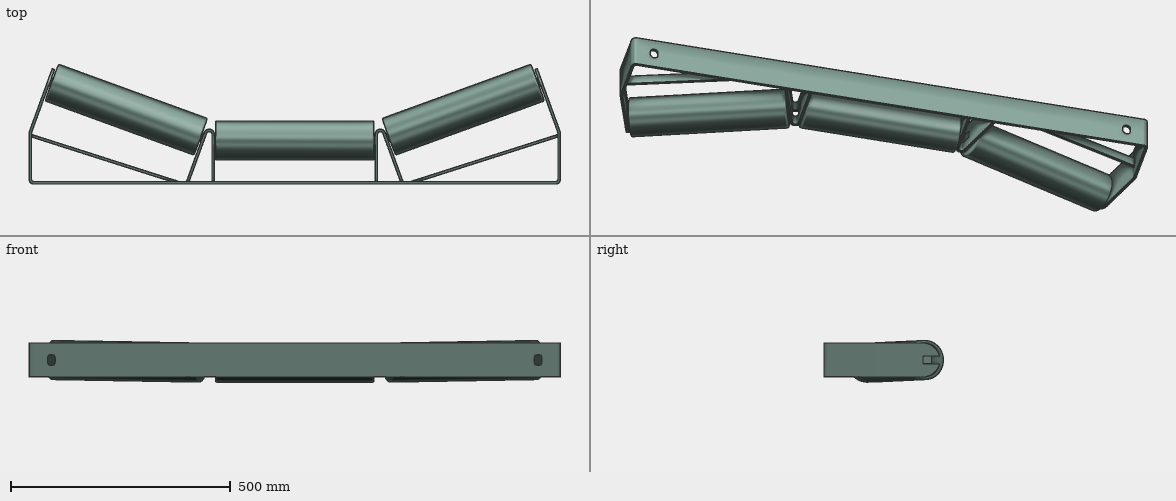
import cadquery as cq
import math


FRAME_LENGTH = 1210.0
STRIP_WIDTH = 77.0
STRIP_THICKNESS = 6.0
CORNER_RADIUS = 11.0
WING_BEND_RADIUS = 23.0
WING_TIP_REACH = 31.0

MOUNT_SPACING = 1108.0
MOUNT_SLOT_WIDTH = 18.0
MOUNT_SLOT_HEIGHT = 25.0

BRACKET_WIDTH = 65.0
BRACKET_BEND_RADIUS = 12.0

ROLLER_LENGTH = 360.0
ROLLER_RADIUS = 45.0
ROLLER_EDGE_RADIUS = 4.0
TROUGH_ANGLE = 20.0
CENTRE_AXIS_Y = 99.0
WING_ROLLER_X = -384.0
WING_ROLLER_Y = 170.0
WING_END_GAP = 4.2
CENTRE_END_GAP = 2.0

AXLE_WIDTH = 17.0
AXLE_HEIGHT = 20.0
AXLE_CORNER_RADIUS = 4.0
AXLE_SLOT_WIDTH = 18.0
AXLE_SLOT_DEPTH = 73.0
AXLE_SLOT_SPAN = 24.0

STRUT_THICKNESS = 6.0
STRUT_WIDTH = 22.0
STRUT_WALL_Y = 110.0
STRUT_FOOT_X = -273.0

HALF_LENGTH = FRAME_LENGTH / 2
SINE = math.sin(math.radians(TROUGH_ANGLE))
COSINE = math.cos(math.radians(TROUGH_ANGLE))
SLOPE = SINE / COSINE
MITRE_SHIFT = STRIP_THICKNESS * math.tan(math.radians(TROUGH_ANGLE / 2))
WING_STRIP_OFFSET = ROLLER_LENGTH / 2 + WING_END_GAP
CENTRE_STRIP_OFFSET = ROLLER_LENGTH / 2 + CENTRE_END_GAP
BRACKET_Z = (BRACKET_WIDTH - STRIP_WIDTH) / 2
WING_ROLLER_Z = BRACKET_Z / 2
WING_TILT = math.degrees(math.asin(-BRACKET_Z / (2 * WING_STRIP_OFFSET)))


def wing_point(along, up):
    """Point in plan measured from the left roller's centre: along its axis (inward) and upward."""
    return (WING_ROLLER_X + along * COSINE + up * SINE, WING_ROLLER_Y - along * SINE + up * COSINE)


def place_on_wing(body):
    """Move a body from roller coordinates (axis on X, top on +Y) onto the left wing."""
    return body.rotate((0, 0, 0), (0, 0, 1), -TROUGH_ANGLE).translate((WING_ROLLER_X, WING_ROLLER_Y, 0))


def mirrored(body):
    """Copy of a body on the other side of X = 0."""
    return body.mirror("YZ")


def extrude_strip(points, width):
    """Solid of a closed outline in plan, with the given width centred on Z = 0."""
    return cq.Workplane("XY").polyline(points).close().extrude(width / 2, both=True)


def round_bend(strip, outer_point, inner_point, outer_radius):
    """Round both sides of one bend so that the strip keeps its thickness."""
    for (x, y), radius in ((outer_point, outer_radius), (inner_point, outer_radius - STRIP_THICKNESS)):
        edge = cq.selectors.NearestToPointSelector((x, y, 0))
        strip = strip.edges("|Z").edges(edge).fillet(radius)
    return strip


def axle_bar(length, width, height):
    """Bar along X whose bottom lies at the foot of the axle, with rounded bottom corners."""
    bar = cq.Workplane("XY").box(length, height, width).translate((0, (height - AXLE_HEIGHT) / 2, 0))
    return bar.edges("|X and <Y").fillet(AXLE_CORNER_RADIUS)


def axle_slot(strip_offset, z):
    """Cutter for the open slot through the strip whose near face is at this offset along the axis."""
    middle = strip_offset + math.copysign(STRIP_THICKNESS / 2, strip_offset)
    return axle_bar(AXLE_SLOT_SPAN, AXLE_SLOT_WIDTH, AXLE_SLOT_DEPTH).translate((middle, 0, z))


def wing_tip_trim():
    """Material to remove so that the left wing ends in a half circle across its width."""
    radius = STRIP_WIDTH / 2
    trim_length = 4 * STRIP_THICKNESS
    tip_block = cq.Workplane("XY").box(trim_length, 2 * radius, 2 * STRIP_WIDTH).translate((0, radius, 0))
    round_end = cq.Workplane("YZ").circle(radius).extrude(trim_length, both=True)
    trim = tip_block.cut(round_end)
    return trim.translate((-WING_STRIP_OFFSET, WING_TIP_REACH - radius, 0))


def make_frame():
    """Base, side walls and leaning wings, bent from one strip."""
    wall_x = -HALF_LENGTH
    outer_offset = WING_STRIP_OFFSET + STRIP_THICKNESS
    bend_y = WING_ROLLER_Y + (outer_offset - (HALF_LENGTH + WING_ROLLER_X) * COSINE) / SINE
    corner_outer = (wall_x, 0)
    corner_inner = (wall_x + STRIP_THICKNESS, STRIP_THICKNESS)
    bend_outer = (wall_x, bend_y)
    bend_inner = (wall_x + STRIP_THICKNESS, bend_y - MITRE_SHIFT)
    left_points = [
        corner_outer,
        bend_outer,
        wing_point(-outer_offset, WING_TIP_REACH),
        wing_point(-WING_STRIP_OFFSET, WING_TIP_REACH),
        bend_inner,
        corner_inner,
    ]
    right_points = [(-x, y) for x, y in reversed(left_points)]
    frame = extrude_strip(left_points + right_points, STRIP_WIDTH)
    for side in (1, -1):
        for outer, inner, radius in (
            (corner_outer, corner_inner, CORNER_RADIUS),
            (bend_outer, bend_inner, WING_BEND_RADIUS),
        ):
            frame = round_bend(frame, (side * outer[0], outer[1]), (side * inner[0], inner[1]), radius)
    trim = place_on_wing(wing_tip_trim())
    slot = place_on_wing(axle_slot(-WING_STRIP_OFFSET, 0))
    for tool in (trim, slot):
        frame = frame.cut(tool).cut(mirrored(tool))
    mounts = (
        cq.Workplane("XZ")
        .pushPoints([(-MOUNT_SPACING / 2, 0), (MOUNT_SPACING / 2, 0)])
        .slot2D(MOUNT_SLOT_HEIGHT, MOUNT_SLOT_WIDTH, 90)
        .extrude(STRIP_THICKNESS, both=True)
    )
    return frame.cut(mounts)


def make_left_bracket():
    """Narrow inverted V: a leaning leg for the outer roller and an upright leg for the centre one."""
    upright_x = -CENTRE_STRIP_OFFSET
    face_x, face_y = wing_point(WING_STRIP_OFFSET, 0)
    foot_y = STRIP_THICKNESS
    lean_foot_x = face_x + (foot_y - face_y) * SLOPE
    apex_outer = (upright_x, foot_y + (upright_x - lean_foot_x) / SLOPE)
    inner_lean_x = lean_foot_x + STRIP_THICKNESS / COSINE
    inner_upright_x = upright_x - STRIP_THICKNESS
    apex_inner = (inner_upright_x, foot_y + (inner_upright_x - inner_lean_x) / SLOPE)
    outline = [
        (lean_foot_x, foot_y),
        apex_outer,
        (upright_x, foot_y),
        (inner_upright_x, foot_y),
        apex_inner,
        (inner_lean_x, foot_y),
    ]
    bracket = extrude_strip(outline, BRACKET_WIDTH).translate((0, 0, BRACKET_Z))
    bracket = round_bend(bracket, apex_outer, apex_inner, BRACKET_BEND_RADIUS)
    wing_slot = place_on_wing(axle_slot(WING_STRIP_OFFSET, BRACKET_Z))
    centre_slot = axle_slot(-CENTRE_STRIP_OFFSET, BRACKET_Z).translate((0, CENTRE_AXIS_Y, 0))
    return bracket.cut(wing_slot).cut(centre_slot)


def make_left_strut():
    """Flat bar from the side wall down to the base, cut to lie flush on both."""
    wall_x = -HALF_LENGTH + STRIP_THICKNESS
    foot_y = STRIP_THICKNESS
    run = STRUT_FOOT_X - wall_x
    drop = STRUT_WALL_Y - foot_y
    length = math.hypot(run, drop)
    half_wall_cut = STRUT_THICKNESS / 2 * length / run
    half_foot_cut = STRUT_THICKNESS / 2 * length / drop
    outline = [
        (wall_x, STRUT_WALL_Y - half_wall_cut),
        (wall_x, STRUT_WALL_Y + half_wall_cut),
        (STRUT_FOOT_X + half_foot_cut, foot_y),
        (STRUT_FOOT_X - half_foot_cut, foot_y),
    ]
    return extrude_strip(outline, STRUT_WIDTH)


def make_roller(end_gap):
    """Roller along X; its axle ends finish flush with the far face of the strips that hold them."""
    end_plane = cq.Workplane("YZ", origin=(-ROLLER_LENGTH / 2, 0, 0))
    drum = end_plane.circle(ROLLER_RADIUS).extrude(ROLLER_LENGTH)
    drum = drum.edges("%CIRCLE").fillet(ROLLER_EDGE_RADIUS)
    axle_length = ROLLER_LENGTH + 2 * (end_gap + STRIP_THICKNESS)
    return drum.union(axle_bar(axle_length, AXLE_WIDTH, AXLE_HEIGHT))


def make_left_roller():
    """Outer roller, sloping in plan and tilted slightly down towards its bracket."""
    roller = make_roller(WING_END_GAP).rotate((0, 0, 0), (0, 1, 0), WING_TILT)
    return place_on_wing(roller.translate((0, 0, WING_ROLLER_Z)))


frame = make_frame()
left_bracket = make_left_bracket()
left_strut = make_left_strut()
left_roller = make_left_roller()
centre_roller = make_roller(CENTRE_END_GAP).translate((0, CENTRE_AXIS_Y, BRACKET_Z))

bodies = [frame, centre_roller]
for left_body in (left_bracket, left_strut, left_roller):
    bodies += [left_body, mirrored(left_body)]

result = cq.Compound.makeCompound([body.solids().val() for body in bodies])